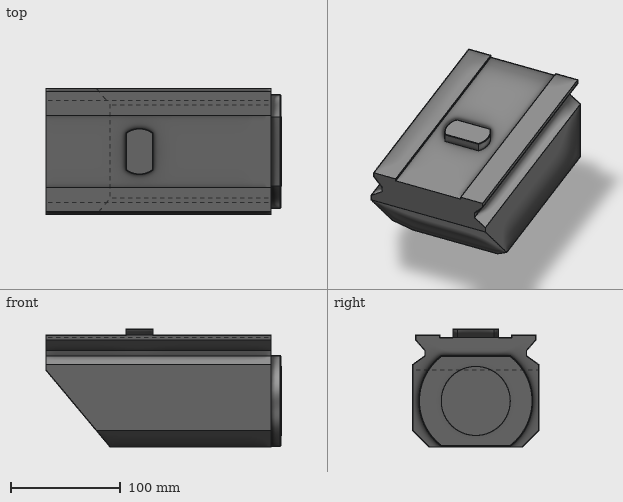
import cadquery as cq
import math

total_length = 215.0
body_width = 115.0
total_height = 108.0

body_length = 205.5
body_top = 102.1
rail_half_width = 54.8
rail_lip_bottom = 97.8
neck_half_width = 46.5
neck_top = 88.2
neck_bottom = 83.2
shoulder_height = 75.2
bottom_chamfer = 15.0
recess_width = 65.4
recess_depth = 2.2

slope_start_height = 70.3
slope_length = 58.7

key_x = 85.4
key_diameter = 42.0
key_width = 25.0
key_chamfer = 0.5

flange_z = 42.1
flange_diameter = 104.0
flange_thickness = 8.8
flange_chamfer = 0.6
pad_diameter = 63.0
flange_height = math.sqrt(flange_diameter**2 - pad_diameter**2)


def make_body():
    half_width = body_width / 2
    recess_floor = body_top - recess_depth
    right_side = [
        (half_width - bottom_chamfer, 0),
        (half_width, bottom_chamfer),
        (half_width, shoulder_height),
        (neck_half_width, neck_bottom),
        (neck_half_width, neck_top),
        (rail_half_width, rail_lip_bottom),
        (rail_half_width, body_top),
        (recess_width / 2, body_top),
        (recess_width / 2, recess_floor),
    ]
    left_side = [(-y, z) for y, z in reversed(right_side)]
    body = cq.Workplane("YZ").polyline(right_side + left_side).close().extrude(body_length)
    under_slope = (
        cq.Workplane("XZ")
        .polyline([(0, 0), (slope_length, 0), (0, slope_start_height)])
        .close()
        .extrude(half_width, both=True)
    )
    return body.cut(under_slope)


def make_key():
    key_base = body_top - recess_depth
    key_height = total_height - key_base
    base = cq.Workplane("XY", origin=(key_x, 0, key_base))
    disc = base.circle(key_diameter / 2).extrude(key_height)
    between_flats = base.rect(key_width, key_diameter).extrude(key_height)
    return disc.intersect(between_flats).faces(">Z").chamfer(key_chamfer)


def make_flange():
    base = cq.Workplane("YZ", origin=(body_length, 0, flange_z))
    disc = base.circle(flange_diameter / 2).extrude(flange_thickness)
    between_flats = base.rect(flange_diameter, flange_height).extrude(flange_thickness)
    flange = disc.intersect(between_flats).faces(">X").chamfer(flange_chamfer)
    pad = base.circle(pad_diameter / 2).extrude(total_length - body_length)
    return flange.union(pad)


result = make_body().union(make_key()).union(make_flange())